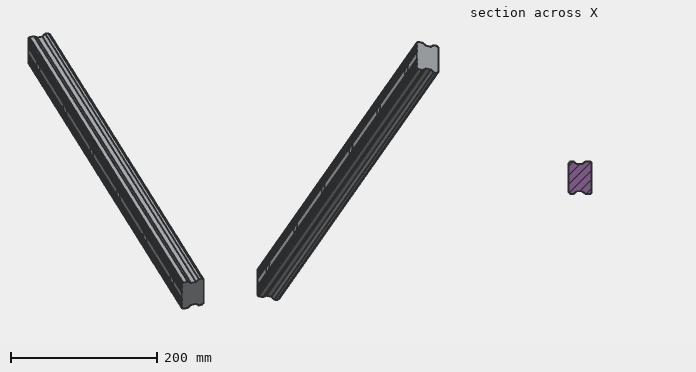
import cadquery as cq

length = 605.0
depth = 32.0
height = 45.0

front_chamfer = 2.0
back_chamfer = 3.0
front_land_end = 8.5
back_land_end = 7.0
front_slope_run = 5.0
back_slope_run = 4.0
channel_depth = 3.5

groove_width = 2.0
groove_depth = 0.5
groove_offsets = (7.0, 14.5)

hole_count = 6
hole_diameter = 13.0
hole_end_distance = 40.0
hole_pitch = (length - 2 * hole_end_distance) / (hole_count - 1)

half_height = height / 2
front = -depth / 2
back = depth / 2


def rail_body():
    """Extrude the section, which is mirrored about mid-height, along X."""
    channel_floor = half_height - channel_depth
    upper_half = [
        (front, half_height - front_chamfer),
        (front + front_chamfer, half_height),
        (front + front_land_end, half_height),
        (front + front_land_end + front_slope_run, channel_floor),
        (back - back_land_end - back_slope_run, channel_floor),
        (back - back_land_end, half_height),
        (back - back_chamfer, half_height),
        (back, half_height - back_chamfer),
    ]
    lower_half = [(y, -z) for y, z in reversed(upper_half)]
    return (
        cq.Workplane("YZ")
        .polyline(upper_half + lower_half)
        .close()
        .extrude(length / 2, both=True)
    )


def front_grooves():
    """Cutters for the groove pairs above and below the holes."""
    centres = [(0, side * offset) for side in (-1, 1) for offset in groove_offsets]
    return (
        cq.Workplane("XZ", origin=(0, front, 0))
        .pushPoints(centres)
        .rect(length, groove_width)
        .extrude(-groove_depth)
    )


def mounting_holes():
    """Cutters for the holes that pass through from front to back."""
    return (
        cq.Workplane("XZ")
        .rarray(hole_pitch, 6, hole_count, 1)
        .circle(hole_diameter / 2)
        .extrude(depth, both=True)
    )


result = rail_body().cut(front_grooves()).cut(mounting_holes())